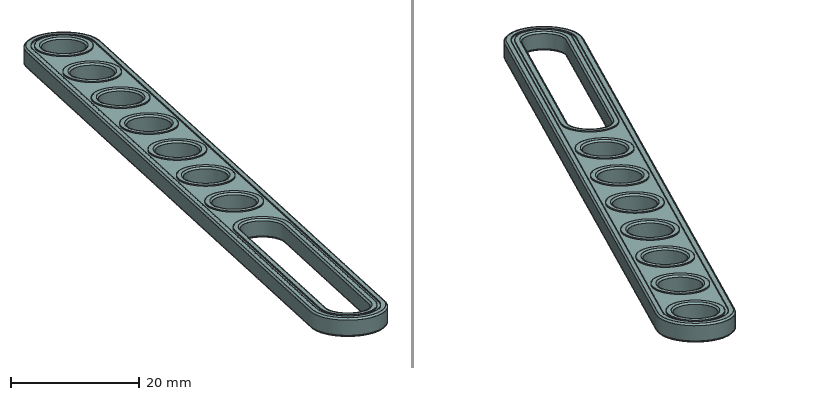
import cadquery as cq

pitch = 12.5
pitch_count = 10
round_hole_count = 7
slot_pitches = 3
thickness = 3.12
hole_diameter = 7.0
collar_diameter = 9.2
rim_width = 1.1
recess_depth = 0.2
edge_chamfer = 0.3

bar_width = pitch
recess_width = bar_width - 2 * rim_width
centre_distance = pitch_count * pitch
first_hole_x = -centre_distance / 2
slot_centre_distance = slot_pitches * pitch
slot_x = (centre_distance - slot_centre_distance) / 2
floor_z = thickness - recess_depth
hole_centres = [(first_hole_x + i * pitch, 0) for i in range(round_hole_count)]


def round_ended_bar(centre_x, end_distance, width, bottom_z, height):
    """Round-ended bar along X; end_distance separates the end arc centres."""
    return (
        cq.Workplane("XY", origin=(centre_x, 0, bottom_z))
        .slot2D(end_distance + width, width)
        .extrude(height)
    )


def openings(width, bottom_z, height):
    """Cylinders at the round holes and a bar at the slot, all of one width."""
    cylinders = (
        cq.Workplane("XY", origin=(0, 0, bottom_z))
        .pushPoints(hole_centres)
        .circle(width / 2)
        .extrude(height)
    )
    slot = round_ended_bar(slot_x, slot_centre_distance, width, bottom_z, height)
    return cylinders.union(slot)


def chamfered_bar():
    """Bar with its holes and slot, every top and bottom edge chamfered."""
    bar = round_ended_bar(0, centre_distance, bar_width, 0, thickness)
    bar = bar.cut(openings(hole_diameter, 0, thickness))
    return bar.faces("<Z or >Z").edges().chamfer(edge_chamfer)


def top_recess():
    """Shallow recess inside the rim that leaves the collars standing."""
    recess = round_ended_bar(0, centre_distance, recess_width, floor_z, recess_depth)
    return recess.cut(openings(collar_diameter, floor_z, recess_depth))


result = chamfered_bar().cut(top_recess())